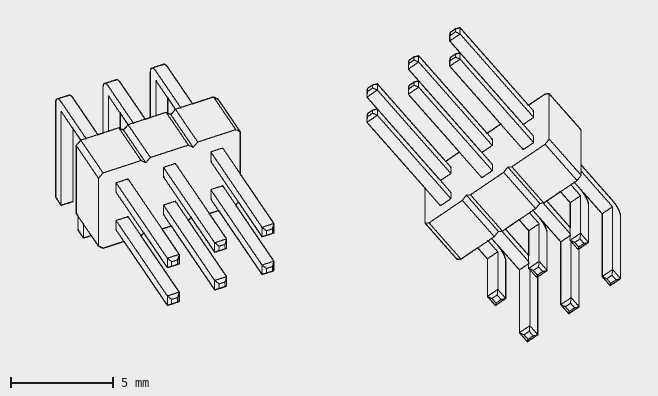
import cadquery as cq

pitch = 2.54
columns = 3
rows = 2
pin_width = 0.64
body_chamfer = 0.25
tip_chamfer = 0.16
bend_radius = pin_width
body_to_inner_leg = 1.5
contact_length = 6.0
leg_length = 3.0

body_depth = pitch
body_height = rows * pitch
body_front = body_depth / 2
contact_end = body_front + contact_length
leg_bottom = -leg_length


def column_y(index):
    """Y position of a column, with the columns centred on Y = 0."""
    return (index - (columns - 1) / 2) * pitch


def make_body():
    """One chamfered block per column, so that V-grooves form where blocks meet."""
    body = cq.Workplane("XY")
    for column in range(columns):
        block = (
            cq.Workplane("XY")
            .box(body_depth, pitch, body_height, centered=(True, True, False))
            .edges("|X")
            .chamfer(body_chamfer)
            .translate((0, column_y(column), 0))
        )
        body = body.union(block)
    return body


def make_pin(row):
    """L-shaped square pin centred on Y = 0; row 0 is the lower, shorter one."""
    pin_top = (row + 0.5) * pitch + pin_width / 2
    leg_axis = -body_depth / 2 - body_to_inner_leg - row * pitch
    leg_back = leg_axis - pin_width / 2
    leg_front = leg_back + pin_width
    pin_bottom = pin_top - pin_width
    return (
        cq.Workplane("XZ")
        .moveTo(leg_back, leg_bottom)
        .lineTo(leg_back, pin_top - bend_radius)
        .radiusArc((leg_back + bend_radius, pin_top), bend_radius)
        .lineTo(contact_end, pin_top)
        .lineTo(contact_end, pin_bottom)
        .lineTo(leg_front, pin_bottom)
        .lineTo(leg_front, leg_bottom)
        .close()
        .extrude(pin_width / 2, both=True)
        .faces(">X or <Z")
        .chamfer(tip_chamfer)
    )


result = make_body()
for row in range(rows):
    pin = make_pin(row)
    for column in range(columns):
        result = result.union(pin.translate((0, column_y(column), 0)))